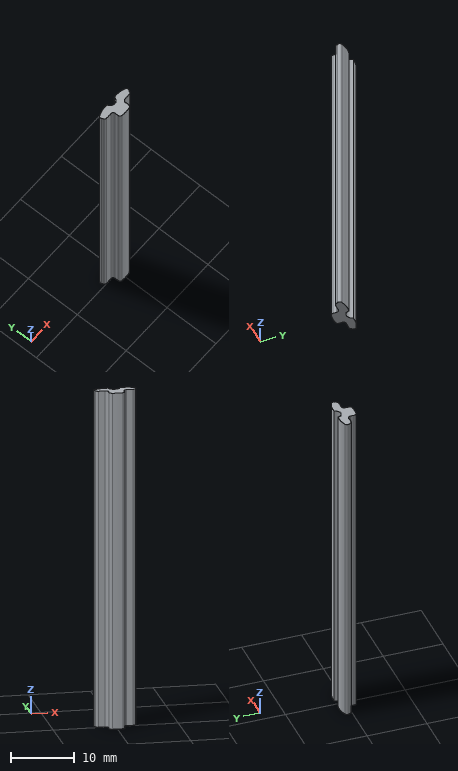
import cadquery as cq
import math

length = 55.0
width = 6.75
depth = 3.15

stem_half_width = 1.25
stem_corner_radius = 0.5
stem_crown_radius = 6.6

wing_front = 1.6
wing_root_radius = 0.45
tip_radius = 0.45
tip_outer_y = 2.35
flank_angle = 28.0
wing_crest_x = 1.3

groove_radius = 0.9
groove_floor = 2.3


def on_circle(centre, radius, degrees):
    """Point on a circle at an angle measured from +X."""
    angle = math.radians(degrees)
    return (centre[0] + radius * math.cos(angle), centre[1] + radius * math.sin(angle))


def direction(start, end):
    """Angle in degrees of the line from start to end."""
    return math.degrees(math.atan2(end[1] - start[1], end[0] - start[0]))


def add_arc(sketch, centre, radius, start, end):
    """Continue the outline along a circle between two angles."""
    middle = on_circle(centre, radius, (start + end) / 2)
    return sketch.threePointArc(middle, on_circle(centre, radius, end))


corner_x = stem_half_width - stem_corner_radius
corner_reach = math.sqrt((stem_crown_radius - stem_corner_radius) ** 2 - corner_x**2)
crown_centre = (0, stem_crown_radius)
corner_centre = (corner_x, stem_crown_radius - corner_reach)
crown_end = direction(crown_centre, corner_centre)

root_centre = (stem_half_width + wing_root_radius, wing_front - wing_root_radius)

tip_outer = (width / 2 - tip_radius, tip_outer_y)
tip_front_y = wing_front + tip_radius
tip_front_x = tip_outer[0] - (tip_outer_y - tip_front_y) * math.tan(math.radians(flank_angle))
tip_front = (tip_front_x, tip_front_y)

crest_to_tip = tip_outer[0] - wing_crest_x
crest_drop = depth - tip_outer_y
back_radius = (crest_to_tip**2 + crest_drop**2 - tip_radius**2) / (2 * (crest_drop - tip_radius))
back_centre = (wing_crest_x, depth - back_radius)
back_start = direction(back_centre, tip_outer)
back_end = 90 + math.degrees(math.asin(wing_crest_x / back_radius))

outline = cq.Workplane("XY").moveTo(0, 0)
outline = add_arc(outline, crown_centre, stem_crown_radius, -90, crown_end)
outline = add_arc(outline, corner_centre, stem_corner_radius, crown_end, 0)
outline = outline.lineTo(stem_half_width, root_centre[1])
outline = add_arc(outline, root_centre, wing_root_radius, 180, 90)
outline = outline.lineTo(tip_front[0], wing_front)
outline = add_arc(outline, tip_front, tip_radius, -90, -flank_angle)
outline = outline.lineTo(*on_circle(tip_outer, tip_radius, -flank_angle))
outline = add_arc(outline, tip_outer, tip_radius, -flank_angle, back_start)
outline = add_arc(outline, back_centre, back_radius, back_start, back_end)
right_half = outline.close().extrude(length)

strip = right_half.union(right_half.mirror("YZ")).clean()

groove_centre = groove_floor + groove_radius
groove = cq.Workplane("XY").center(0, groove_centre).circle(groove_radius).extrude(length)

result = strip.cut(groove)